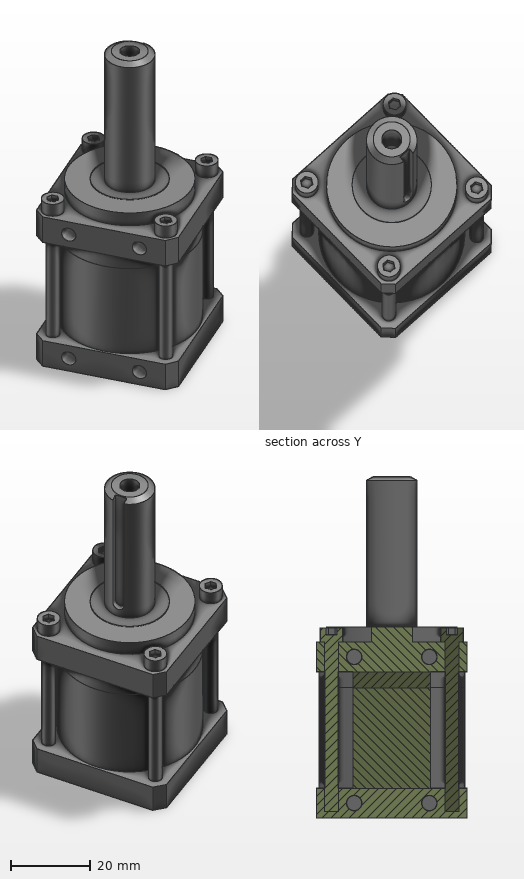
import cadquery as cq
import math

TOTAL_HEIGHT = 86.2
PLATE_WIDTH = 38.1
PLATE_HEIGHT = 7.6
PLATE_CORNER_CHAMFER = 2.6

CASE_RADIUS = 18.45
CASE_HEIGHT = 25.35
SPACER_HEIGHT = 4.0

PILOT_RADIUS = 16.5
PILOT_HEIGHT = 3.8

SIDE_HOLE_DIAMETER = 3.8
SIDE_HOLE_OFFSET = 9.5
SIDE_HOLE_DEPTH = 6.9

BEARING_RADIUS = 10.0
BEARING_HEIGHT = 7.8
BEARING_RECESS = 0.3

SHAFT_RADIUS = 6.4
SHAFT_CHAMFER_WIDTH = 1.7
SHAFT_CHAMFER_HEIGHT = 0.95
SHAFT_BORE_DIAMETER = 5.0
SHAFT_BORE_DEPTH = 12.9
KEYWAY_WIDTH = 3.2
KEYWAY_FLOOR = 4.8
KEYWAY_LENGTH = 36.0

SCREW_OFFSET = 15.2
SCREW_DIAMETER = 3.5
SCREW_HEAD_DIAMETER = 5.8
SCREW_HEAD_HEIGHT = 3.5
SCREW_END_Z = 1.7
SOCKET_ACROSS_FLATS = 2.8
SOCKET_DEPTH = 1.7

spacer_z = PLATE_HEIGHT + CASE_HEIGHT
top_plate_z = spacer_z + SPACER_HEIGHT
top_plate_face_z = top_plate_z + PLATE_HEIGHT
pilot_face_z = top_plate_face_z + PILOT_HEIGHT
bearing_face_z = pilot_face_z - BEARING_RECESS
bearing_seat_z = bearing_face_z - BEARING_HEIGHT

screw_positions = [
    (x_side * SCREW_OFFSET, y_side * SCREW_OFFSET)
    for x_side in (-1, 1)
    for y_side in (-1, 1)
]


def cylinder(radius, bottom_z, top_z, center=(0, 0)):
    """Upright cylinder between two levels."""
    return (
        cq.Workplane("XY", origin=(center[0], center[1], bottom_z))
        .circle(radius)
        .extrude(top_z - bottom_z)
    )


def make_plate(bottom_z):
    """Square plate with cut corners and two blind holes in its -Y edge."""
    plate = (
        cq.Workplane("XY", origin=(0, 0, bottom_z))
        .rect(PLATE_WIDTH, PLATE_WIDTH)
        .extrude(PLATE_HEIGHT)
        .edges("|Z")
        .chamfer(PLATE_CORNER_CHAMFER)
    )
    side_holes = (
        cq.Workplane("XZ", origin=(0, -PLATE_WIDTH / 2, bottom_z + PLATE_HEIGHT / 2))
        .pushPoints([(-SIDE_HOLE_OFFSET, 0), (SIDE_HOLE_OFFSET, 0)])
        .circle(SIDE_HOLE_DIAMETER / 2)
        .extrude(-SIDE_HOLE_DEPTH)
    )
    return plate.cut(side_holes)


def cut_screw_holes(plate):
    """Clear the four screw shanks from a plate."""
    for position in screw_positions:
        plate = plate.cut(cylinder(SCREW_DIAMETER / 2, SCREW_END_Z, top_plate_face_z, position))
    return plate


def make_base_plate():
    return cut_screw_holes(make_plate(0))


def make_top_plate():
    """Top plate with the pilot boss and the blind bearing seat."""
    plate = cut_screw_holes(make_plate(top_plate_z))
    plate = plate.union(cylinder(PILOT_RADIUS, top_plate_face_z, pilot_face_z))
    return plate.cut(cylinder(BEARING_RADIUS, bearing_seat_z, pilot_face_z))


def make_bearing():
    outer = cylinder(BEARING_RADIUS, bearing_seat_z, bearing_face_z)
    return outer.cut(cylinder(SHAFT_RADIUS, bearing_seat_z, bearing_face_z))


def make_shaft():
    """Shaft standing on the bearing seat, with a sloped end, an end bore and a keyway."""
    chamfer_z = TOTAL_HEIGHT - SHAFT_CHAMFER_HEIGHT
    shaft = (
        cq.Workplane("XZ")
        .moveTo(0, bearing_seat_z)
        .lineTo(SHAFT_RADIUS, bearing_seat_z)
        .lineTo(SHAFT_RADIUS, chamfer_z)
        .lineTo(SHAFT_RADIUS - SHAFT_CHAMFER_WIDTH, TOTAL_HEIGHT)
        .lineTo(0, TOTAL_HEIGHT)
        .close()
        .revolve(360, (0, 0), (0, 1))
    )
    bore = cylinder(SHAFT_BORE_DIAMETER / 2, TOTAL_HEIGHT - SHAFT_BORE_DEPTH, TOTAL_HEIGHT)

    half_width = KEYWAY_WIDTH / 2
    keyway_end_z = TOTAL_HEIGHT - KEYWAY_LENGTH
    keyway = (
        cq.Workplane("XZ", origin=(0, KEYWAY_FLOOR, 0))
        .moveTo(-half_width, TOTAL_HEIGHT)
        .lineTo(-half_width, keyway_end_z + half_width)
        .threePointArc((0, keyway_end_z), (half_width, keyway_end_z + half_width))
        .lineTo(half_width, TOTAL_HEIGHT)
        .close()
        .extrude(KEYWAY_FLOOR - SHAFT_RADIUS)
    )
    return shaft.cut(bore).cut(keyway)


def make_screw(position):
    """Cap screw with a hexagonal socket, its head resting on the top plate."""
    head_top_z = top_plate_face_z + SCREW_HEAD_HEIGHT
    shank = cylinder(SCREW_DIAMETER / 2, SCREW_END_Z, top_plate_face_z, position)
    head = cylinder(SCREW_HEAD_DIAMETER / 2, top_plate_face_z, head_top_z, position)
    socket_across_corners = SOCKET_ACROSS_FLATS / math.cos(math.radians(30))
    socket = (
        cq.Workplane("XY", origin=(position[0], position[1], head_top_z))
        .polygon(6, socket_across_corners)
        .extrude(-SOCKET_DEPTH)
    )
    return shank.union(head).cut(socket)


base_plate = make_base_plate()
case = cylinder(CASE_RADIUS, PLATE_HEIGHT, spacer_z)
spacer = cylinder(CASE_RADIUS, spacer_z, top_plate_z)
top_plate = make_top_plate()
bearing = make_bearing()
shaft = make_shaft()
screws = [make_screw(position) for position in screw_positions]

result = cq.Compound.makeCompound([
    base_plate.val(),
    case.val(),
    spacer.val(),
    top_plate.val(),
    bearing.val(),
    shaft.val(),
    *[screw.val() for screw in screws],
])